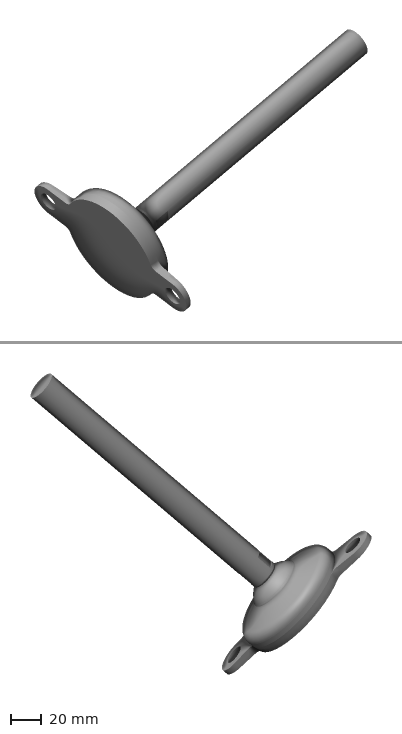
import cadquery as cq
import math


base_radius = 40.0
underside_radius = 39.2
draft_height = 6.0
rim_height = 9.5
shoulder_radius = 7.0
lip_radius = 18.9
lip_bottom = 22.1
lip_top = 23.2

hole_spacing = 111.0
hole_diameter = 13.0
lug_width = 25.0
lug_tip_height = 4.0
lug_root_reach = 38.0
lug_fillet = 5.0
match_tolerance = 0.01
lug_reach = hole_spacing / 2 + lug_width / 2

total_height = 231.5
rod_radius = 10.0
neck_radius = 9.5
neck_taper_length = 1.2
ball_radius = 22.0
ball_center = 10.6
flat_spacing = 17.0
flat_bottom = 33.7
flat_top = 45.0


def ball_height(radius):
    """Height on the upper half of the ball at a given distance from the axis."""
    return ball_center + math.sqrt(ball_radius**2 - radius**2)


def ball_reach(height):
    """Distance from the axis to the ball surface at a given height."""
    return math.sqrt(ball_radius**2 - (height - ball_center) ** 2)


def revolve_about_y(profile):
    """Close an outline that starts and ends on the Y axis and turn it into a solid."""
    return profile.close().revolve(360, (0, 0, 0), (0, 1, 0))


def make_base_disc():
    """Drafted disc whose sloped top ends in a small lip around the ball."""
    arc_center = base_radius - shoulder_radius
    to_lip_x = lip_radius - arc_center
    to_lip_y = lip_bottom - rim_height
    lip_distance = math.hypot(to_lip_x, to_lip_y)
    turn = math.atan2(to_lip_y, to_lip_x) - math.acos(shoulder_radius / lip_distance)
    arc_middle = (
        arc_center + shoulder_radius * math.cos(turn / 2),
        rim_height + shoulder_radius * math.sin(turn / 2),
    )
    arc_end = (
        arc_center + shoulder_radius * math.cos(turn),
        rim_height + shoulder_radius * math.sin(turn),
    )
    profile = (
        cq.Workplane("XY")
        .lineTo(underside_radius, 0)
        .lineTo(base_radius, draft_height)
        .lineTo(base_radius, rim_height)
        .threePointArc(arc_middle, arc_end)
        .lineTo(lip_radius, lip_bottom)
        .lineTo(ball_reach(lip_top), lip_top)
        .lineTo(0, lip_top)
    )
    return revolve_about_y(profile)


def is_lug_corner(edge):
    """True for the four upright edges where the lug sides meet the drafted disc."""
    center = edge.Center()
    on_lug_side = abs(abs(center.z) - lug_width / 2) < match_tolerance
    at_mid_height = abs(center.y - draft_height / 2) < match_tolerance
    return on_lug_side and at_mid_height and abs(center.x) < base_radius


def make_lug_plate():
    """Lower slice of the base: drafted disc with both lugs blended into it and their tops sloped."""
    disc = revolve_about_y(
        cq.Workplane("XY")
        .lineTo(underside_radius, 0)
        .lineTo(base_radius, draft_height)
        .lineTo(0, draft_height)
    )
    lugs = (
        cq.Workplane("XZ")
        .slot2D(2 * lug_reach, lug_width)
        .extrude(-draft_height)
    )
    plate = disc.union(lugs).edges().filter(is_lug_corner).fillet(lug_fillet)
    side = (
        cq.Workplane("XY")
        .moveTo(-lug_reach, 0)
        .lineTo(lug_reach, 0)
        .lineTo(lug_reach, lug_tip_height)
        .lineTo(lug_root_reach, draft_height)
        .lineTo(-lug_root_reach, draft_height)
        .lineTo(-lug_reach, lug_tip_height)
        .close()
        .extrude(base_radius, both=True)
    )
    return plate.intersect(side)


def ball_outline(end_radius):
    """Outline of the half ball, flat at its centre plane and cut off at the given radius near its top."""
    middle_angle = math.acos(end_radius / ball_radius) / 2
    arc_middle = (
        ball_radius * math.cos(middle_angle),
        ball_center + ball_radius * math.sin(middle_angle),
    )
    return (
        cq.Workplane("XY")
        .moveTo(0, ball_center)
        .lineTo(ball_radius, ball_center)
        .threePointArc(arc_middle, (end_radius, ball_height(end_radius)))
    )


def make_base():
    """Round base with lugs, their fixing holes and the socket that holds the ball."""
    base = make_base_disc().union(make_lug_plate())
    holes = (
        cq.Workplane("XZ")
        .pushPoints([(-hole_spacing / 2, 0), (hole_spacing / 2, 0)])
        .circle(hole_diameter / 2)
        .extrude(-draft_height)
    )
    return base.cut(holes).cut(revolve_about_y(ball_outline(0)))


def cut_wrench_flats(spindle):
    """Cut one flat on each X side of the rod, just above the neck."""
    flat_depth = rod_radius - flat_spacing / 2
    flat_middle = (flat_bottom + flat_top) / 2
    for side in (-1, 1):
        flat_x = side * (flat_spacing + flat_depth) / 2
        flat = (
            cq.Workplane("XY")
            .box(flat_depth, flat_top - flat_bottom, 2 * rod_radius)
            .translate((flat_x, flat_middle, 0))
        )
        spindle = spindle.cut(flat)
    return spindle


def make_spindle():
    """Half ball foot, tapered neck and plain round rod with two wrench flats."""
    profile = (
        ball_outline(neck_radius)
        .lineTo(rod_radius, ball_height(neck_radius) + neck_taper_length)
        .lineTo(rod_radius, total_height)
        .lineTo(0, total_height)
    )
    return cut_wrench_flats(revolve_about_y(profile))


base = make_base()
spindle = make_spindle()
result = cq.Compound.makeCompound([base.val(), spindle.val()])